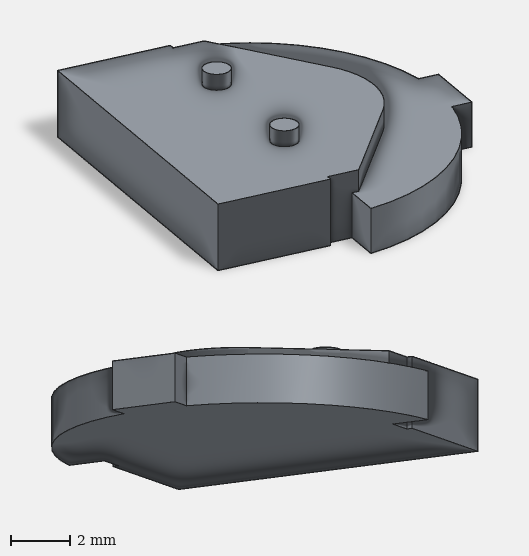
import cadquery as cq
import math

body_width = 11.83
body_height = 2.5
shoulder_y = 4.3
neck_width = 11.41
neck_top_y = 5.48
nose_tip_y = 9.01
nose_radius = 3.12

overall_width = 14.19
overall_depth = 12.1
disc_bottom_y = 5.22
disc_height = 1.69
disc_radius = math.hypot(overall_width / 2, disc_bottom_y - shoulder_y)
tab_width = 2.47

pin_diameter = 1.0
pin_spacing = 5.0
overall_height = 3.1


def make_body():
    """Stepped block whose sloped sides run tangent into a rounded nose."""
    half_body = body_width / 2
    half_neck = neck_width / 2
    nose_center_y = nose_tip_y - nose_radius
    corner_rise = neck_top_y - nose_center_y
    corner_distance = math.hypot(half_neck, corner_rise)
    tangent_angle = math.atan2(corner_rise, half_neck) + math.acos(nose_radius / corner_distance)
    tangent_x = nose_radius * math.cos(tangent_angle)
    tangent_y = nose_center_y + nose_radius * math.sin(tangent_angle)
    return (
        cq.Workplane("XY")
        .moveTo(-half_body, 0)
        .lineTo(half_body, 0)
        .lineTo(half_body, shoulder_y)
        .lineTo(half_neck, shoulder_y)
        .lineTo(half_neck, neck_top_y)
        .lineTo(tangent_x, tangent_y)
        .threePointArc((0, nose_tip_y), (-tangent_x, tangent_y))
        .lineTo(-half_neck, neck_top_y)
        .lineTo(-half_neck, shoulder_y)
        .lineTo(-half_body, shoulder_y)
        .close()
        .extrude(body_height)
    )


def make_disc():
    """Disc segment with a straight lower edge and a tab at the far side."""
    half_width = overall_width / 2
    segment = (
        cq.Workplane("XY")
        .moveTo(-half_width, disc_bottom_y)
        .threePointArc((0, shoulder_y + disc_radius), (half_width, disc_bottom_y))
        .close()
        .extrude(disc_height)
    )
    tab = cq.Workplane("XY").box(
        tab_width, overall_depth - disc_bottom_y, disc_height, centered=(True, False, False)
    ).translate((0, disc_bottom_y, 0))
    return segment.union(tab)


def make_pins():
    """Two round pins standing on the top face of the body."""
    pin_centers = [(side * pin_spacing / 2, shoulder_y) for side in (-1, 1)]
    return (
        cq.Workplane("XY")
        .pushPoints(pin_centers)
        .circle(pin_diameter / 2)
        .extrude(overall_height)
    )


result = make_body().union(make_disc()).union(make_pins())